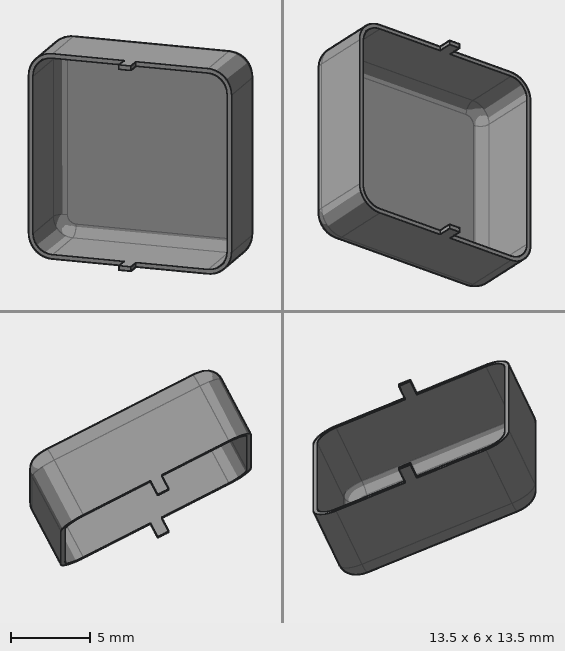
import cadquery as cq

side = 13.5
cover_depth = 5.0
wall = 0.3
corner_radius = 1.58
back_edge_radius = 1.0

tab_width = 0.8
tab_length = 1.0


def rounded_block(width, depth, radius, edge_radius):
    """Square block from the rim plane toward +Y, with its back edge rounded."""
    block = cq.Workplane("XZ").rect(width, width).extrude(-depth)
    return block.edges("|Y").fillet(radius).faces(">Y").edges().fillet(edge_radius)


def rim_tab(direction):
    """Tab flush with the outer wall face on the +Z or -Z side."""
    center_z = direction * (side - wall) / 2
    return cq.Workplane("XZ").center(0, center_z).rect(tab_width, wall).extrude(tab_length)


outer = rounded_block(side, cover_depth, corner_radius, back_edge_radius)
cavity = rounded_block(
    side - 2 * wall,
    cover_depth - wall,
    corner_radius - wall,
    back_edge_radius - wall,
)
result = outer.cut(cavity)

for direction in (-1, 1):
    result = result.union(rim_tab(direction))